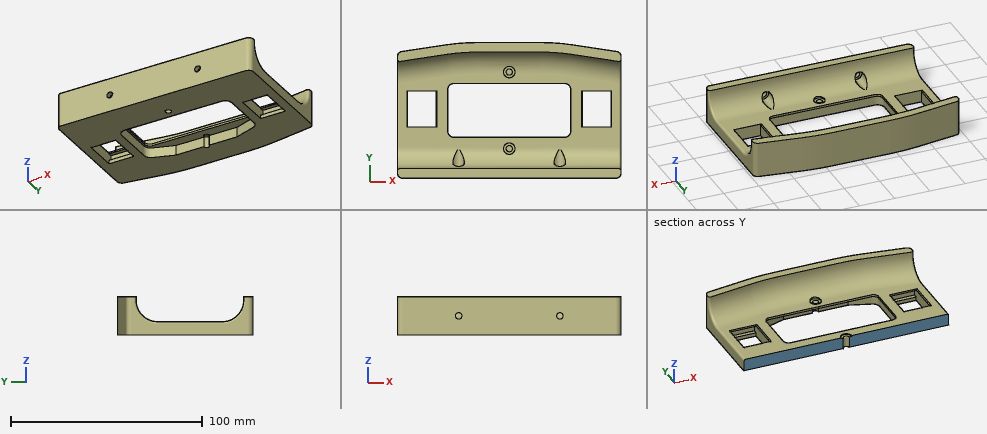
import cadquery as cq
import math

length = 117.0
depth = 71.0
height = 20.0
corner_radius = 2.8

wall = 5.0
floor_top = 7.0
cove_radius = 11.0
end_fillet = 1.2

flat_half = 16.7
bow_radius = 111.2
bow_angle = math.radians(8.6)

window_length = 64.1
window_width = 28.0
window_radius = 3.0
window_y = depth / 2
lip = 1.2
lip_overhang = 1.0
bay_radius = 4.0
bay_slant_angle = math.radians(18.5)
bay_slant_rise = 4.9

side_spacing = 91.4
side_length = 15.7
side_width = 18.7
side_y = 36.3
side_lip = 0.9
side_flare = 0.5
side_flare_height = 0.7
catch_depth = 2.2
catch_sill = 2.1

seat_spacing = 40.0
seat_diameter = 6.0
seat_depth = 0.5
pilot_diameter = 3.3
seat_skin = 0.2

screw_spacing = 52.9
screw_diameter = 3.4
screw_head_diameter = 6.0
screw_head_y = 3.0

half = length / 2


def bowed_outline(front, inset, reach):
    """Closed outline from a straight front to the rear bow moved inward by inset."""
    radius = bow_radius - inset
    rear = depth - inset
    half_angle = bow_angle / 2
    mid_x = flat_half + radius * math.sin(half_angle)
    mid_y = rear - radius * (1 - math.cos(half_angle))
    arc_x = flat_half + radius * math.sin(bow_angle)
    arc_y = rear - radius * (1 - math.cos(bow_angle))
    wing_y = arc_y - (reach - arc_x) * math.tan(bow_angle)
    return (
        cq.Workplane("XY")
        .moveTo(-reach, front)
        .lineTo(reach, front)
        .lineTo(reach, wing_y)
        .lineTo(arc_x, arc_y)
        .threePointArc((mid_x, mid_y), (flat_half, rear))
        .lineTo(-flat_half, rear)
        .threePointArc((-mid_x, mid_y), (-arc_x, arc_y))
        .lineTo(-reach, wing_y)
        .close()
    )


def box(x_size, y_size, z_low, z_high, x, y):
    """Block centred on x and y between two heights."""
    return (
        cq.Workplane("XY", origin=(x, y, z_low))
        .rect(x_size, y_size)
        .extrude(z_high - z_low)
    )


def tray():
    """Bowed block hollowed by a coved channel running from end to end."""
    block = bowed_outline(0, 0, half).extrude(height)
    block = block.edges("|Z").edges("<X or >X").fillet(corner_radius)
    overrun = 5.8
    channel = (
        bowed_outline(wall, wall, half + overrun)
        .extrude(height)
        .faces("<Z")
        .edges("not(<X or >X)")
        .fillet(cove_radius)
        .translate((0, 0, floor_top))
    )
    return block.cut(channel)


def round_channel_ends(body):
    """Fillet the channel profile where it meets both end faces."""
    slack = 0.1
    for side in (-1, 1):
        inner = cq.selectors.BoxSelector(
            (side * half - slack, wall - slack, floor_top - slack),
            (side * half + slack, depth - wall, height - slack),
        )
        body = body.edges(inner).fillet(end_fillet)
    return body


def central_window():
    """Rounded window above a larger bay whose rear widens between two slants."""
    opening = box(window_length, window_width, 0, floor_top, 0, window_y).edges("|Z").fillet(window_radius)
    bay_x = window_length / 2 + lip_overhang
    bay_front = window_y - window_width / 2 - lip_overhang
    bay_rear = window_y + window_width / 2 + lip_overhang
    slant_x = bay_x - bay_slant_rise / math.tan(bay_slant_angle)
    bay = (
        cq.Workplane("XY")
        .moveTo(-bay_x, bay_front)
        .lineTo(bay_x, bay_front)
        .lineTo(bay_x, bay_rear)
        .lineTo(slant_x, bay_rear + bay_slant_rise)
        .lineTo(-slant_x, bay_rear + bay_slant_rise)
        .lineTo(-bay_x, bay_rear)
        .close()
        .extrude(floor_top - lip)
    )
    for side in ("<X", ">X"):
        bay = bay.faces(side).edges("|Z").fillet(bay_radius)
    return opening.union(bay)


def side_window(x):
    """Rectangular opening, flared at the top of its ends, with a catch recess at its rear."""
    lip_bottom = floor_top - side_lip
    flare_bottom = floor_top - side_flare_height
    through_length = side_length - 2 * side_flare
    flare = (
        cq.Workplane("XZ", origin=(x, side_y, 0))
        .moveTo(-through_length / 2, flare_bottom)
        .lineTo(through_length / 2, flare_bottom)
        .lineTo(side_length / 2, floor_top)
        .lineTo(-side_length / 2, floor_top)
        .close()
        .extrude(side_width / 2, both=True)
    )
    through = box(through_length, side_width, 0, floor_top, x, side_y)
    catch_y = side_y + (side_width + catch_depth) / 2
    catch = box(through_length, catch_depth, catch_sill, lip_bottom, x, catch_y)
    return flare.union(through).union(catch)


def magnet_seat(y):
    """Shallow round seat above a blind pilot bore, parted by a thin skin."""
    seat_floor = floor_top - seat_depth
    seat = cq.Workplane("XY", origin=(0, y, seat_floor)).circle(seat_diameter / 2).extrude(height)
    pilot = (
        cq.Workplane("XY", origin=(0, y, 0))
        .circle(pilot_diameter / 2)
        .extrude(seat_floor - seat_skin)
    )
    return seat.union(pilot)


def screw_hole(x):
    """Front-wall hole with a head clearance bored from the channel side."""
    reach = wall + cove_radius
    mid_height = height / 2
    shank = cq.Workplane("XZ", origin=(x, 0, mid_height)).circle(screw_diameter / 2).extrude(-reach)
    head = (
        cq.Workplane("XZ", origin=(x, screw_head_y, mid_height))
        .circle(screw_head_diameter / 2)
        .extrude(-reach)
    )
    return shank.union(head)


result = round_channel_ends(tray()).cut(central_window())
for side in (-1, 1):
    result = result.cut(side_window(side * side_spacing / 2))
    result = result.cut(screw_hole(side * screw_spacing / 2))
    result = result.cut(magnet_seat(window_y + side * seat_spacing / 2))